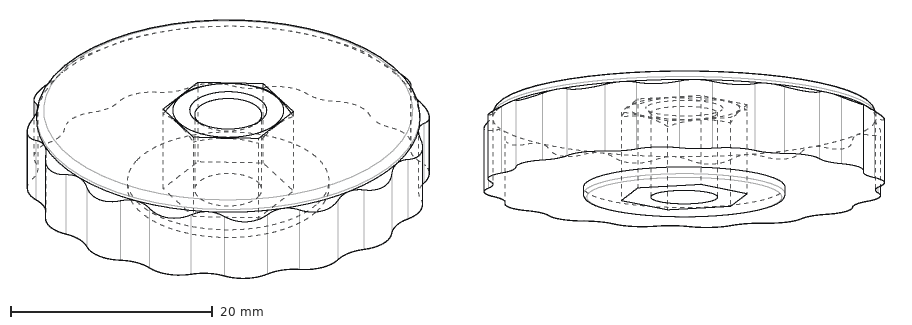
import cadquery as cq
import math

outer_diameter = 40
total_height = 9.0
rim_height = 1.0
boss_height = 1.0
rim_bottom = total_height - rim_height

lobe_count = 16
rim_diameter = 38
valley_radius = 4
grip_bevel_angle = 30

rim_round = 0.7
boss_diameter = 20
boss_round = 0.3

hex_across_flats = 11.2
insert_face_diameter = 11.0
insert_bevel_angle = 30
bore_diameter = 6.65
bore_chamfer = 0.5

outer_radius = outer_diameter / 2
rim_radius = rim_diameter / 2
lobe_pitch = 360 / lobe_count


def polar(radius, angle):
    """Point at a radius and an angle in degrees about the Z axis."""
    return (radius * math.cos(math.radians(angle)), radius * math.sin(math.radians(angle)))


def grip_outline():
    """Closed outline of convex lobes joined by tangent concave valleys."""
    half_pitch = lobe_pitch / 2
    valley_center_distance = rim_radius + valley_radius
    along_lobe = valley_center_distance * math.cos(math.radians(half_pitch))
    lobe_radius = (
        valley_center_distance**2 + outer_radius**2 - valley_radius**2 - 2 * along_lobe * outer_radius
    ) / (2 * (outer_radius + valley_radius - along_lobe))

    lobe_center_distance = outer_radius - lobe_radius
    valley_center = polar(valley_center_distance, half_pitch)
    share = lobe_radius / (lobe_radius + valley_radius)
    tangent_x = lobe_center_distance + share * (valley_center[0] - lobe_center_distance)
    tangent_y = share * valley_center[1]
    tangent_distance = math.hypot(tangent_x, tangent_y)
    tangent_angle = math.degrees(math.atan2(tangent_y, tangent_x))

    outline = cq.Workplane("XY").workplane(offset=boss_height)
    outline = outline.moveTo(*polar(tangent_distance, -tangent_angle))
    for index in range(lobe_count):
        lobe_angle = index * lobe_pitch
        next_angle = lobe_angle + lobe_pitch
        valley_angle = lobe_angle + half_pitch
        outline = outline.threePointArc(
            polar(outer_radius, lobe_angle), polar(tangent_distance, lobe_angle + tangent_angle)
        )
        outline = outline.threePointArc(
            polar(rim_radius, valley_angle), polar(tangent_distance, next_angle - tangent_angle)
        )
    return outline.close()


def make_grip():
    """Scalloped ring of lobes whose tops slope down outward from the rim."""
    grip = grip_outline().extrude(rim_bottom - boss_height)
    bevel_drop = (outer_radius - rim_radius) * math.tan(math.radians(grip_bevel_angle))
    envelope = (
        cq.Workplane("XZ")
        .moveTo(0, 0)
        .lineTo(outer_radius, 0)
        .lineTo(outer_radius, rim_bottom - bevel_drop)
        .lineTo(rim_radius, rim_bottom)
        .lineTo(0, rim_bottom)
        .close()
        .revolve(360, (0, 0, 0), (0, 1, 0))
    )
    return grip.intersect(envelope)


def make_hex_prism():
    """Hexagonal prism over the full height, with corners on the X axis."""
    across_corners = hex_across_flats / math.cos(math.radians(30))
    return cq.Workplane("XY").polygon(6, across_corners).extrude(total_height)


def make_handwheel():
    """Grip, rounded rim and bottom boss, with a hexagonal hole for the insert."""
    rim = (
        cq.Workplane("XY")
        .workplane(offset=rim_bottom)
        .circle(rim_radius)
        .extrude(rim_height)
        .faces(">Z")
        .edges()
        .fillet(rim_round)
    )
    boss = (
        cq.Workplane("XY")
        .circle(boss_diameter / 2)
        .extrude(boss_height)
        .faces("<Z")
        .edges()
        .fillet(boss_round)
    )
    return make_grip().union(rim).union(boss).cut(make_hex_prism())


def make_insert():
    """Hexagonal insert with beveled top corners and a chamfered through bore."""
    corner_radius = hex_across_flats / 2 / math.cos(math.radians(30))
    face_radius = insert_face_diameter / 2
    bevel_drop = (corner_radius - face_radius) * math.tan(math.radians(insert_bevel_angle))
    bore_radius = bore_diameter / 2
    envelope = (
        cq.Workplane("XZ")
        .moveTo(bore_radius, 0)
        .lineTo(corner_radius, 0)
        .lineTo(corner_radius, total_height - bevel_drop)
        .lineTo(face_radius, total_height)
        .lineTo(bore_radius + bore_chamfer, total_height)
        .lineTo(bore_radius, total_height - bore_chamfer)
        .close()
        .revolve(360, (0, 0, 0), (0, 1, 0))
    )
    return make_hex_prism().intersect(envelope)


handwheel = make_handwheel()
insert = make_insert()

result = cq.Compound.makeCompound([handwheel.val(), insert.val()])